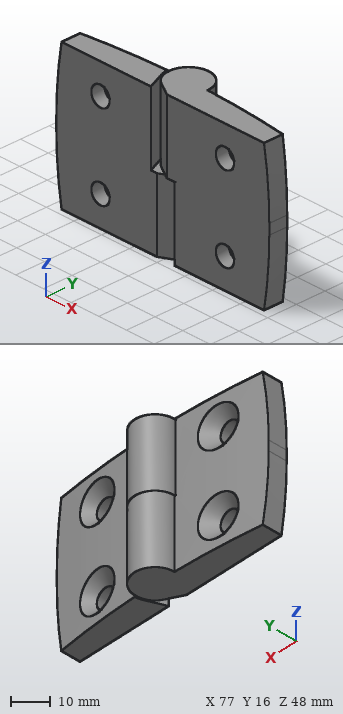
import cadquery as cq
import math


height = 48.0
half_height = height / 2
half_width = 38.5
end_flat = 3.4
end_setback = 1.9

barrel_radius = 7.0
front_y = -9.0
back_arc_radius = 275.0
clearance_radius = 7.4
relief_foot_x = 4.3

right_foot_x = 1.5
left_foot_x = 2.1

hole_diameter = 6.6
countersink_diameter = 13.7
countersink_angle = 90.0
hole_x = 22.5
hole_z = 14.0


def back_y(x):
    """Y level of the crowned back at distance x from the hinge axis."""
    return math.sqrt(back_arc_radius**2 - x**2) - back_arc_radius


def tangent_point(foot_x, radius, side):
    """Point where the line from (foot_x, front_y) touches a circle about the hinge axis.

    side is +1 for the touch point clockwise of the foot, seen from the axis, and -1 for the other.
    """
    distance = math.hypot(foot_x, front_y)
    angle = math.atan2(front_y, foot_x) - side * math.acos(radius / distance)
    return radius * math.cos(angle), radius * math.sin(angle)


def extrude_between(outline, bottom, top):
    """Extrude a closed XY outline from one Z level to another."""
    return outline.extrude(top - bottom).translate((0, 0, bottom))


def barrel_half(foot_x):
    """Upper half of a leaf: the plate running into its own barrel."""
    touch_x, touch_y = tangent_point(foot_x, barrel_radius, 1)
    plate = (
        cq.Workplane("XY")
        .moveTo(foot_x, front_y)
        .lineTo(half_width, front_y)
        .lineTo(half_width, back_y(half_width))
        .threePointArc((half_width / 2, back_y(half_width / 2)), (0, 0))
        .lineTo(touch_x, touch_y)
        .close()
    )
    barrel = cq.Workplane("XY").circle(barrel_radius)
    return extrude_between(plate, 0, half_height).union(extrude_between(barrel, 0, half_height))


def relief_half():
    """Lower half of a leaf: the plate cut back around the other leaf's barrel."""
    touch_x, touch_y = tangent_point(relief_foot_x, clearance_radius, -1)
    top_y = -clearance_radius**2 / (2 * back_arc_radius)
    top_x = math.sqrt(clearance_radius**2 - top_y**2)
    middle_angle = (math.atan2(touch_y, touch_x) + math.atan2(top_y, top_x)) / 2
    hollow_middle = (
        clearance_radius * math.cos(middle_angle),
        clearance_radius * math.sin(middle_angle),
    )
    crown_middle_x = (top_x + half_width) / 2
    outline = (
        cq.Workplane("XY")
        .moveTo(relief_foot_x, front_y)
        .lineTo(half_width, front_y)
        .lineTo(half_width, back_y(half_width))
        .threePointArc((crown_middle_x, back_y(crown_middle_x)), (top_x, top_y))
        .threePointArc(hollow_middle, (touch_x, touch_y))
        .close()
    )
    return extrude_between(outline, -half_height, 0)


def end_envelope():
    """Block whose outer end has a short flat and two arcs tangent to it."""
    flat_z = end_flat / 2
    arc_rise = half_height - flat_z
    arc_radius = (arc_rise**2 + end_setback**2) / (2 * end_setback)
    half_sweep = math.asin(arc_rise / arc_radius) / 2
    middle_x = half_width - arc_radius * (1 - math.cos(half_sweep))
    middle_z = flat_z + arc_radius * math.sin(half_sweep)
    corner_x = half_width - end_setback
    reach = 2 * barrel_radius
    return (
        cq.Workplane("XZ")
        .moveTo(-reach, -half_height)
        .lineTo(corner_x, -half_height)
        .threePointArc((middle_x, -middle_z), (half_width, -flat_z))
        .lineTo(half_width, flat_z)
        .threePointArc((middle_x, middle_z), (corner_x, half_height))
        .lineTo(-reach, half_height)
        .close()
        .extrude(reach, both=True)
    )


def screw_cutter(z):
    """Through hole with a countersink opening on the crowned back."""
    hole_radius = hole_diameter / 2
    sink_radius = countersink_diameter / 2
    slope = math.tan(math.radians(countersink_angle / 2))
    rim_y = back_y(hole_x)
    sink_bottom_y = rim_y - (sink_radius - hole_radius) / slope
    clear_y = barrel_radius
    clear_radius = sink_radius + (clear_y - rim_y) * slope
    return (
        cq.Workplane("XY")
        .moveTo(0, front_y)
        .lineTo(hole_radius, front_y)
        .lineTo(hole_radius, sink_bottom_y)
        .lineTo(clear_radius, clear_y)
        .lineTo(0, clear_y)
        .close()
        .revolve(360, (0, 0, 0), (0, 1, 0))
        .translate((hole_x, 0, z))
    )


def leaf(foot_x):
    """One hinge leaf on the +X side with its barrel in the upper half."""
    body = barrel_half(foot_x).union(relief_half()).intersect(end_envelope())
    for z in (-hole_z, hole_z):
        body = body.cut(screw_cutter(z))
    return body


right_leaf = leaf(right_foot_x)
left_leaf = leaf(left_foot_x).rotate((0, 0, 0), (0, 1, 0), 180)

result = cq.Compound.makeCompound([right_leaf.val(), left_leaf.val()])